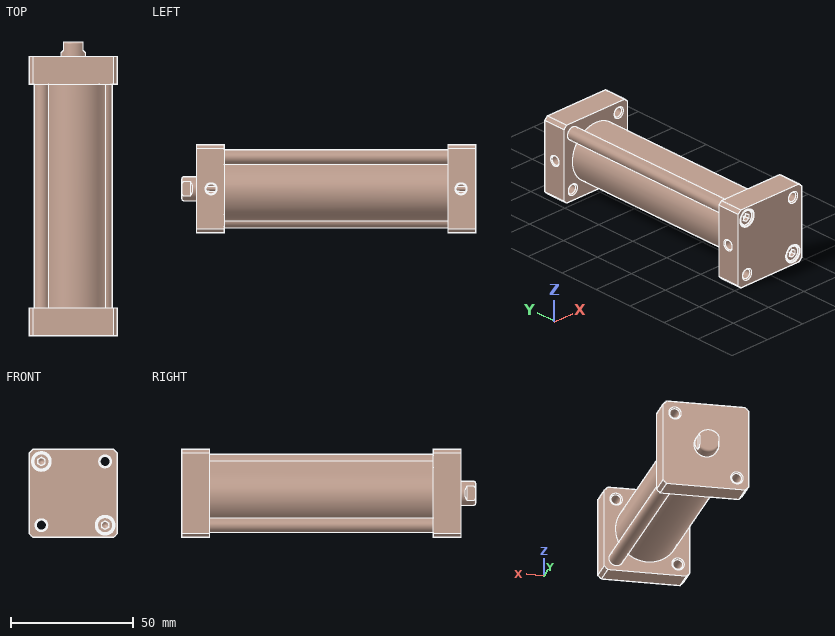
import cadquery as cq
import math


cap_side = 36.0
cap_length = 11.4
body_length = 114.0
cap_corner = 1.5
tube_length = body_length - 2 * cap_length
tube_outer = 26.5
tube_inner = 25.0
rod_diameter = 10.0
rod_reach = 6.0

pattern_offset = 13.0
hole_diameter = 4.13
hole_rim = 5.2

port_diameter = 4.13
port_rim = 4.92
port_depth = 6.0
port_setback = 6.0
port_tip_angle = 118.0
port_bar_diameter = 2.0

bolt_diameter = 6.0
bolt_seat_depth = 6.0
head_diameter = 7.0
head_length = 4.0
head_chamfer = 0.4
head_recess = 0.5
counterbore_diameter = 7.5
counterbore_rim = 8.0
socket_width = 3.0
socket_depth = 2.0
socket_tip_depth = 0.8

rod_end_fillet = 1.1
flat_width = 8.0
flat_length = 3.5

rear_start = body_length - cap_length
rod_end = body_length + rod_reach

bolt_places = [(-pattern_offset, pattern_offset), (pattern_offset, -pattern_offset)]
hole_places = [(pattern_offset, pattern_offset), (-pattern_offset, -pattern_offset)]

along_y = cq.Vector(0, 1, 0)


def turned(profile, x=0.0, z=0.0):
    """Solid of revolution about a Y line through (x, z); the profile holds (radius, y) points."""
    return (
        cq.Workplane("XY").polyline(profile).close()
        .revolve(360, (0, 0, 0), (0, 1, 0)).translate((x, 0, z))
    )


def cylinder_y(diameter, start, length, x=0.0, z=0.0):
    return cq.Workplane(cq.Solid.makeCylinder(diameter / 2, length, cq.Vector(x, start, z), along_y))


def rim_hole(x, z, start):
    """Through hole of a cap with a 45 degree chamfer at both mouths."""
    rim = hole_rim / 2
    radius = hole_diameter / 2
    step = rim - radius
    end = start + cap_length
    profile = [
        (0, start), (rim, start), (radius, start + step),
        (radius, end - step), (rim, end), (0, end),
    ]
    return turned(profile, x, z)


def port(center_y):
    """Chamfered blind port with a drill-point bottom; a round bar is left standing across the bottom."""
    rim = port_rim / 2
    radius = port_diameter / 2
    step = rim - radius
    tip = radius / math.tan(math.radians(port_tip_angle / 2))
    profile = [(0, 0), (0, rim), (step, radius), (port_depth, radius), (port_depth + tip, 0)]
    drilled = (
        cq.Workplane("XY").polyline(profile).close()
        .revolve(360, (0, 0, 0), (1, 0, 0)).translate((-cap_side / 2, center_y, 0))
    )
    bar_x = -cap_side / 2 + port_depth
    bar = cylinder_y(port_bar_diameter, center_y - port_diameter, 2 * port_diameter, bar_x)
    return drilled.cut(bar)


def cap_block(start):
    """Square cap with chamfered long corners and two through holes."""
    block = (
        cq.Workplane("XY").box(cap_side, cap_length, cap_side)
        .edges("|Y").chamfer(cap_corner)
        .translate((0, start + cap_length / 2, 0))
    )
    for x, z in hole_places:
        block = block.cut(rim_hole(x, z, start))
    return block


def make_front_cap():
    """Cap with chamfered counterbores for the bolt heads and clearance for the shanks."""
    cap = cap_block(0).cut(port(port_setback))
    rim = counterbore_rim / 2
    radius = counterbore_diameter / 2
    seat = head_recess + head_length
    profile = [
        (0, 0), (rim, 0), (radius, rim - radius), (radius, seat),
        (bolt_diameter / 2, seat), (bolt_diameter / 2, cap_length), (0, cap_length),
    ]
    for x, z in bolt_places:
        cap = cap.cut(turned(profile, x, z))
    return cap


def make_rear_cap():
    """Cap with the piston rod bore and blind seats for the ends of the tie bolts."""
    cap = cap_block(rear_start).cut(port(body_length - port_setback))
    cap = cap.cut(cylinder_y(rod_diameter, rear_start, cap_length))
    for x, z in bolt_places:
        cap = cap.cut(cylinder_y(bolt_diameter, rear_start, bolt_seat_depth, x, z))
    return cap


def make_tube():
    outside = cylinder_y(tube_outer, cap_length, tube_length)
    return outside.cut(cylinder_y(tube_inner, cap_length, tube_length))


def make_piston_rod():
    """Rod with a rounded end and two flats that run out at 45 degrees."""
    radius = rod_diameter / 2
    rod = cylinder_y(rod_diameter, rear_start, rod_end - rear_start)
    rod = rod.faces(">Y").edges().fillet(rod_end_fillet)
    flat = flat_width / 2
    runout = radius - flat
    for side in (-1, 1):
        notch = (
            cq.Workplane("XY")
            .polyline([
                (side * flat, rod_end), (side * flat, rod_end - flat_length),
                (side * radius, rod_end - flat_length - runout), (side * radius, rod_end),
            ])
            .close().extrude(radius, both=True)
        )
        rod = rod.cut(notch)
    return rod


def make_tie_bolt(x, z):
    """Tie bolt with a chamfered socket head at the front."""
    head = head_diameter / 2
    shank = bolt_diameter / 2
    seat = head_recess + head_length
    end = rear_start + bolt_seat_depth
    bolt = turned([
        (0, head_recess), (head - head_chamfer, head_recess), (head, head_recess + head_chamfer),
        (head, seat), (shank, seat), (shank, end), (0, end),
    ], x, z)
    corner_diameter = socket_width / math.cos(math.pi / 6)
    floor = head_recess + socket_depth
    socket = (
        cq.Workplane("XZ").polygon(6, corner_diameter).extrude(-socket_depth)
        .rotate((0, 0, 0), (0, 1, 0), 90).translate((x, head_recess, z))
    )
    tip = turned([(0, floor), (socket_width / 2, floor), (0, floor + socket_tip_depth)], x, z)
    return bolt.cut(socket).cut(tip)


front_cap = make_front_cap()
rear_cap = make_rear_cap()
tube = make_tube()
piston_rod = make_piston_rod()
tie_bolts = [make_tie_bolt(x, z) for x, z in bolt_places]

result = cq.Compound.makeCompound([
    front_cap.val(),
    rear_cap.val(),
    tube.val(),
    piston_rod.val(),
    *[bolt.val() for bolt in tie_bolts],
])